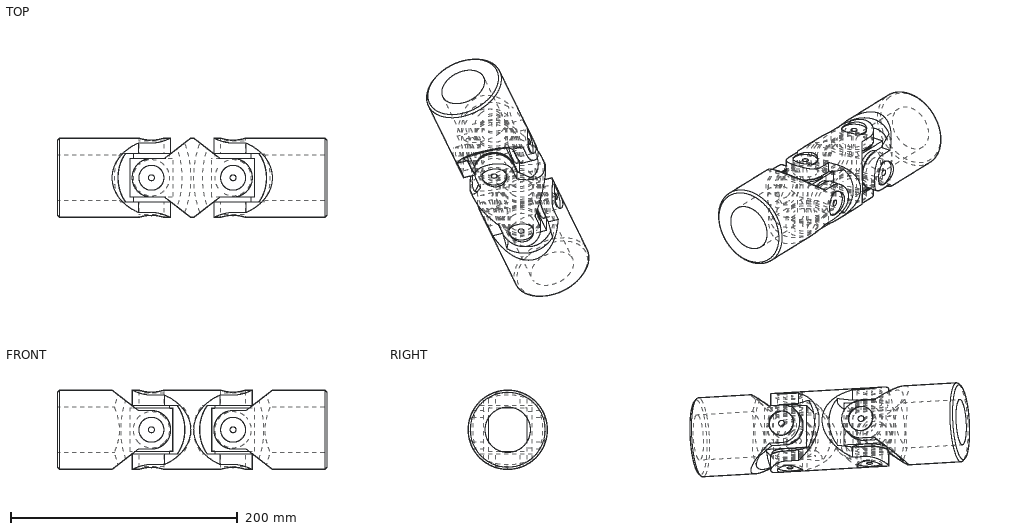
import cadquery as cq
import math


overall_length = 238.0
body_diameter = 70.0
body_radius = body_diameter / 2
pivot_offset = 36.0
end_chamfer = 2.0
bore_diameter = 40.0

arm_half_width = 17.0
arm_flat_length = 11.5
taper_end = 34.7
slot_width = 42.5
slot_depth = 35.0
sweep_radius = 87.0
profile_radius = 32.5

block_length_x = 38.0
block_width_y = 34.0
block_height_z = 38.0
shoulder_diameter = 32.0
trunnion_diameter = 22.0
trunnion_span = 65.0
dome_diameter = 5.28
dome_height = 1.0

cut_margin = 5.0
cut_size = body_diameter + 2 * cut_margin


def arm_outline():
    """Yoke seen along its pivot axis: pivot at the origin, body towards +X.

    The body side runs on past the end of any yoke.
    """
    body_end = overall_length
    return (
        cq.Workplane("XY")
        .moveTo(0, arm_half_width)
        .threePointArc((-arm_half_width, 0), (0, -arm_half_width))
        .lineTo(arm_flat_length, -arm_half_width)
        .lineTo(taper_end, -body_radius)
        .lineTo(body_end, -body_radius)
        .lineTo(body_end, body_radius)
        .lineTo(taper_end, body_radius)
        .lineTo(arm_flat_length, arm_half_width)
        .close()
        .extrude(cut_size / 2, both=True)
    )


def slot_between_arms():
    """Gap between the two arms of a fork, closed by a wall that is concave both ways."""
    half_width = slot_width / 2
    profile_sagitta = profile_radius - math.sqrt(profile_radius**2 - half_width**2)
    rim_radius = sweep_radius - profile_sagitta
    disc = (
        cq.Workplane("XZ")
        .moveTo(0, -half_width)
        .lineTo(-rim_radius, -half_width)
        .threePointArc((-sweep_radius, 0), (-rim_radius, half_width))
        .lineTo(0, half_width)
        .close()
        .revolve(360, (0, 0, 0), (0, 1, 0))
    )
    return disc.translate((slot_depth - sweep_radius, 0, 0))


def trunnion_hole():
    return (
        cq.Workplane("XY")
        .circle(trunnion_diameter / 2)
        .extrude(cut_size / 2, both=True)
    )


def shape_fork(bar):
    """Cut a fork into a bar along +X whose pivot axis is Z through the origin."""
    return bar.intersect(arm_outline()).cut(slot_between_arms()).cut(trunnion_hole())


def make_end_yoke():
    """End yoke on the +X side, with its pivot axis along Y."""
    body_end = overall_length / 2 - pivot_offset
    bar = (
        cq.Workplane("YZ", origin=(-arm_half_width, 0, 0))
        .circle(body_radius)
        .extrude(body_end + arm_half_width)
        .faces(">X")
        .chamfer(end_chamfer)
    )
    bore = cq.Workplane("YZ").circle(bore_diameter / 2).extrude(body_end + cut_margin)
    fork = shape_fork(bar).cut(bore)
    return fork.rotate((0, 0, 0), (1, 0, 0), 90).translate((pivot_offset, 0, 0))


def make_center_yoke():
    """Double fork between the two crosses, with both pivot axes along Z."""
    half_length = pivot_offset + arm_half_width
    yoke = cq.Workplane("YZ").circle(body_radius).extrude(half_length, both=True)
    for _ in range(2):
        forked = shape_fork(yoke.translate((pivot_offset, 0, 0)))
        yoke = forked.translate((-pivot_offset, 0, 0)).rotate((0, 0, 0), (0, 0, 1), 180)
    return yoke


def tip_dome():
    """Small spherical cap on the end face of the +Z trunnion."""
    tip = trunnion_span / 2
    dome_radius = dome_diameter / 2
    sphere_radius = (dome_radius**2 + dome_height**2) / (2 * dome_height)
    sphere_center_z = tip + dome_height - sphere_radius
    sphere = cq.Workplane("XY", origin=(0, 0, sphere_center_z)).sphere(sphere_radius)
    above_tip = cq.Workplane("XY", origin=(0, 0, tip)).circle(dome_diameter).extrude(cut_margin)
    return sphere.intersect(above_tip)


def make_cross():
    """Cross piece centred on the origin, with trunnions along Y and Z."""
    cross = cq.Workplane("XY").box(block_length_x, block_width_y, block_height_z)
    for plane in ("XY", "XZ"):
        shoulders = (
            cq.Workplane(plane)
            .circle(shoulder_diameter / 2)
            .extrude(slot_width / 2, both=True)
        )
        trunnions = (
            cq.Workplane(plane)
            .circle(trunnion_diameter / 2)
            .extrude(trunnion_span / 2, both=True)
        )
        cross = cross.union(shoulders).union(trunnions)
    for angle in (0, 90, 180, 270):
        cross = cross.union(tip_dome().rotate((0, 0, 0), (1, 0, 0), angle))
    return cross


right_yoke = make_end_yoke()
left_yoke = right_yoke.rotate((0, 0, 0), (0, 0, 1), 180)
center_yoke = make_center_yoke()
crosses = [make_cross().translate((side * pivot_offset, 0, 0)) for side in (-1, 1)]

result = cq.Compound.makeCompound(
    [left_yoke.val(), center_yoke.val(), right_yoke.val()] + [cross.val() for cross in crosses]
)